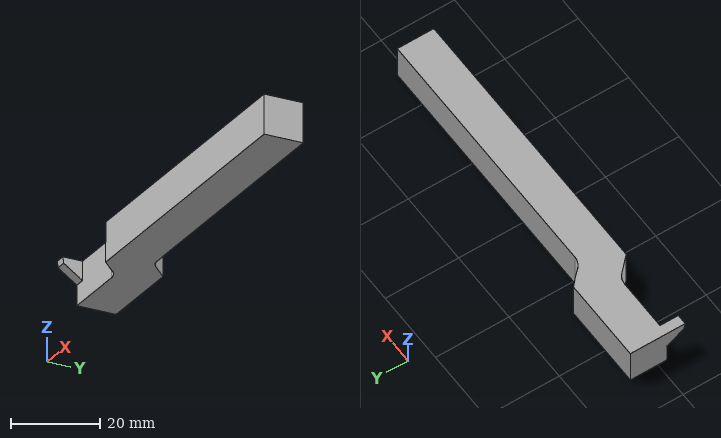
import cadquery as cq
import math

length = 100.0
thickness = 10.0
bar_width = 10.0
offset = 5.0

front_crank_end = 23.5
back_crank_start = 22.7
bend_radius = 4.0

lip_width = 2.8
lip_tip_height = 1.6
lip_root_height = 4.9
tip_relief_angle = 8.5

shank_back = bar_width
head_front = offset
head_back = bar_width + offset
front_crank_start = front_crank_end - offset
back_crank_end = back_crank_start + offset


def make_bar():
    """Cranked bar: head stepped sideways from the shank."""
    bar = (
        cq.Workplane("XY")
        .moveTo(0, head_front)
        .lineTo(front_crank_start, head_front)
        .lineTo(front_crank_end, 0)
        .lineTo(length, 0)
        .lineTo(length, shank_back)
        .lineTo(back_crank_end, shank_back)
        .lineTo(back_crank_start, head_back)
        .lineTo(0, head_back)
        .close()
        .extrude(thickness)
    )
    front_bend = cq.selectors.NearestToPointSelector((front_crank_start, head_front, thickness / 2))
    back_bend = cq.selectors.NearestToPointSelector((back_crank_end, shank_back, thickness / 2))
    return bar.edges("|Z").edges(front_bend + back_bend).fillet(bend_radius)


def make_lip():
    """Lip reaching forward from the head, with a sloped underside."""
    relief = lip_tip_height * math.tan(math.radians(tip_relief_angle))
    return (
        cq.Workplane("YZ")
        .moveTo(head_back, thickness)
        .lineTo(0, thickness)
        .lineTo(relief, thickness - lip_tip_height)
        .lineTo(head_front, thickness - lip_root_height)
        .lineTo(head_back, thickness - lip_root_height)
        .close()
        .extrude(lip_width)
    )


result = make_bar().union(make_lip()).translate((-length / 2, -head_back / 2, -thickness / 2))